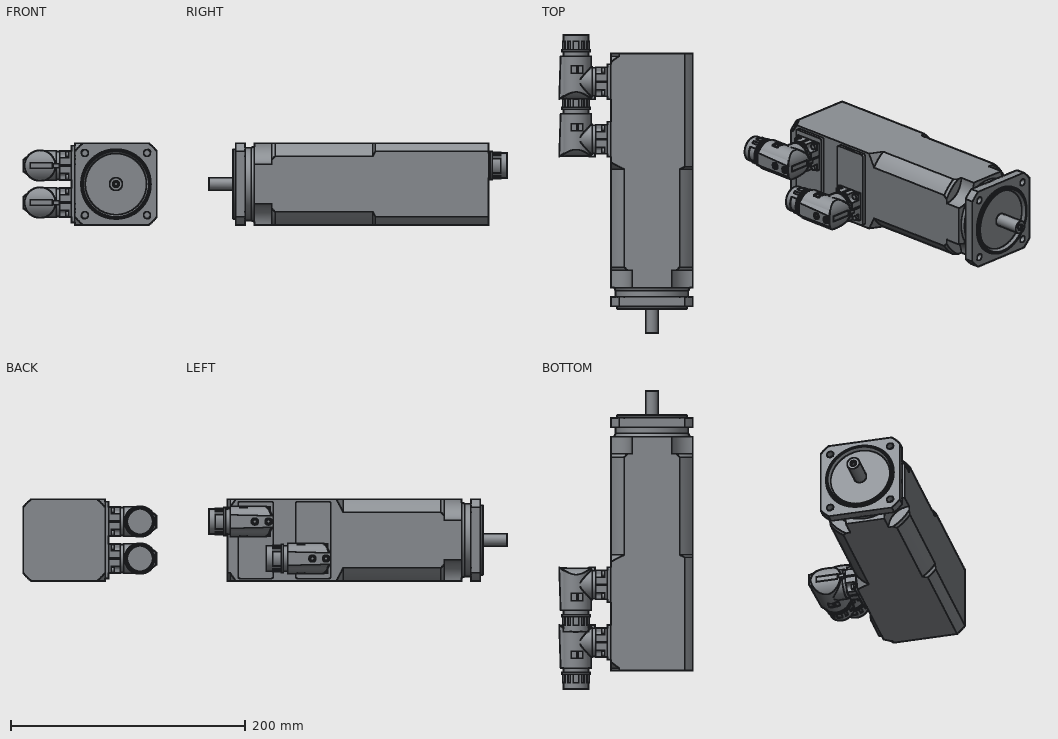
import cadquery as cq
import math

LENGTH = 254.9
SIDE = 70.0
HALF_SIDE = SIDE / 2
SHAFT_DIA = 11.0
SHAFT_LENGTH = 23.0
CENTER_HOLE_DIA = 3.3
CENTER_SINK_DIA = 5.5
CENTER_HOLE_DEPTH = 7.6

FLANGE_THICKNESS = 8.2
FLANGE_CORNER_DIA = 89.7
SPIGOT_DIA = 60.0
SPIGOT_HEIGHT = 2.5
SPIGOT_CHAMFER = 0.8
RECESS_DIA = 56.0
RECESS_FLOOR_DIA = 52.2
RECESS_DEPTH = 3.0
BOLT_SPACING = 53.0
BOLT_DIA = 5.9

NECK_DIA = 62.5
NECK_RIM_DIA = 64.7
NECK_RIM_LENGTH = 2.8

HOUSING_FRONT = 16.0
HOUSING_REAR = 216.0
POCKET_LENGTH = 14.8
POCKET_RADIUS = 18.0
FRONT_RAMP_LENGTH = 2.8
FRONT_CORNER_DIA = 81.5
STATOR_CORNER_DIA = 84.5
STATOR_END = 117.2
STATOR_RAMP_LENGTH = 5.9
REAR_BAND = 2.3
REAR_RAMP_LENGTH = 5.0
SHARP_CORNER_RADIUS = HALF_SIDE * math.sqrt(2)

PLATE_THICKNESS = 3.0
PLATE_WIDTH = 30.0
PLATE_HEIGHT = 65.8
PLATE_CORNER_RADIUS = 1.8
PLATE_FACE_X = -HALF_SIDE - PLATE_THICKNESS

CONNECTOR_Z = 15.8
CONNECTOR_PITCH = 49.2
CONNECTOR_REACH = 114.5 - SIDE - PLATE_THICKNESS
BASE_SIDE = 25.0
BASE_LENGTH = 10.0
FOOT_THICKNESS = 2.3
SCREW_OFFSET = 9.7
SCREW_NOTCH_DIA = 6.0
SCREW_HEAD_DIA = 4.5
SCREW_HEAD_HEIGHT = 2.5
BASE_GROOVE_WIDTH = 1.0
BASE_GROOVE_DEPTH = 0.5
COLLAR_DIA = 24.2
ARM_DIA = 25.5
ARM_START = 12.7

TUBE_DIA = 26.3
TUBE_X = -26.8
TUBE_TOP = 22.0
TUBE_BOTTOM = 14.5
DOME_WIDTH = 28.0
DOME_EDGE_BOTTOM = 7.6
COVER_TIP_WIDTH = 9.7
COVER_BOTTOM = 15.0
COVER_TAPER = 1.3
COVER_SHOULDER = 4.5
COVER_SHOULDER_WIDTH = 24.5
BUTTON_DIA = 5.9
BUTTON_Y = 0.8
SCREW_Y = -11.0
BUTTON_CORE_DIA = 3.3
BUTTON_RING_DEPTH = 0.5

WINDOW_LENGTH = 18.5
WINDOW_WIDTH = 4.8
WINDOW_X = -25.7
WINDOW_DEPTH = 0.8
LUG_WIDTH = 3.3
LUG_END = 10.5
LUG_LENGTH = 4.8
LUG_HEIGHT = 4.3

LATCH_POCKET_WIDTH = 4.5
LATCH_POCKET_HEIGHT = 6.0
LATCH_BAR = 1.5
LATCH_X = TUBE_X + 1.3
LATCH_Y = 10.5
LATCH_DEPTH = 1.3

COUPLING_DIA = 21.7
RING_DIA = 24.2
RING_START = 25.5
RING_END = 27.3
SLEEVE_DIA = 23.0
SLEEVE_END = 34.5
NARROW_GROOVE = 2.8
NARROW_GROOVE_ANGLE = 19
WIDE_GROOVE = 3.5
WIDE_GROOVE_ANGLE = 47

REAR_CONNECTOR_Y = 192.0
COUPLING_END = LENGTH - SHAFT_LENGTH - REAR_CONNECTOR_Y


def cylinder_y(diameter, start, end, x=0.0, z=0.0):
    """Cylinder along Y from start to end."""
    solid = cq.Solid.makeCylinder(diameter / 2, end - start, cq.Vector(x, start, z), cq.Vector(0, 1, 0))
    return cq.Workplane(solid)


def cylinder_x(diameter, start, end, y=0.0, z=0.0):
    """Cylinder along X from start to end."""
    solid = cq.Solid.makeCylinder(diameter / 2, end - start, cq.Vector(start, y, z), cq.Vector(1, 0, 0))
    return cq.Workplane(solid)


def block(x_range, y_range, z_range):
    """Box between the given limits on each axis."""
    lows, highs = zip(x_range, y_range, z_range)
    sizes = [high - low for low, high in zip(lows, highs)]
    return cq.Workplane(cq.Solid.makeBox(*sizes, cq.Vector(*lows)))


def square_bar(start, end):
    """Bar of the full motor section from start to end."""
    limits = (-HALF_SIDE, HALF_SIDE)
    return block(limits, (start, end), limits)


def revolved(points):
    """Solid turned about the Y axis from (radius, y) points."""
    return cq.Workplane("XY").polyline(points).close().revolve(360, (0, 0, 0), (0, 1, 0))


def four_corners(offset):
    """The four (+-offset, +-offset) positions."""
    return [(a, b) for a in (-offset, offset) for b in (-offset, offset)]


def make_housing_block():
    """Square housing whose corners are turned down to a stepped round profile."""
    pocket_end = HOUSING_FRONT + POCKET_LENGTH
    front_radius = FRONT_CORNER_DIA / 2
    stator_radius = STATOR_CORNER_DIA / 2
    rear_radius = FLANGE_CORNER_DIA / 2
    rear_band_start = HOUSING_REAR - REAR_BAND
    envelope = revolved([
        (0, HOUSING_FRONT),
        (front_radius, HOUSING_FRONT),
        (front_radius, pocket_end),
        (stator_radius, pocket_end + FRONT_RAMP_LENGTH),
        (stator_radius, STATOR_END),
        (SHARP_CORNER_RADIUS, STATOR_END + STATOR_RAMP_LENGTH),
        (SHARP_CORNER_RADIUS, rear_band_start - REAR_RAMP_LENGTH),
        (rear_radius, rear_band_start),
        (rear_radius, HOUSING_REAR),
        (0, HOUSING_REAR),
    ])
    housing = square_bar(HOUSING_FRONT, HOUSING_REAR).intersect(envelope)

    limits = (-SIDE, SIDE)
    left_half = block((-SIDE, 0), (HOUSING_FRONT, HOUSING_REAR), limits)
    round_bar = cylinder_y(FLANGE_CORNER_DIA, HOUSING_FRONT, HOUSING_REAR)
    housing = housing.intersect(left_half.union(round_bar))

    for x, z in four_corners(HALF_SIDE):
        housing = housing.cut(cylinder_y(2 * POCKET_RADIUS, HOUSING_FRONT, pocket_end, x, z))
    return housing


def make_flange():
    """Rounded square flange with spigot, recess and bolt holes."""
    flange = square_bar(0, FLANGE_THICKNESS).intersect(
        cylinder_y(FLANGE_CORNER_DIA, 0, FLANGE_THICKNESS))
    spigot_radius = SPIGOT_DIA / 2
    spigot = revolved([
        (0, 0),
        (spigot_radius, 0),
        (spigot_radius, SPIGOT_CHAMFER - SPIGOT_HEIGHT),
        (spigot_radius - SPIGOT_CHAMFER, -SPIGOT_HEIGHT),
        (0, -SPIGOT_HEIGHT),
    ])
    recess = revolved([
        (0, -SPIGOT_HEIGHT),
        (RECESS_DIA / 2, -SPIGOT_HEIGHT),
        (RECESS_FLOOR_DIA / 2, RECESS_DEPTH - SPIGOT_HEIGHT),
        (0, RECESS_DEPTH - SPIGOT_HEIGHT),
    ])
    flange = flange.union(spigot).cut(recess)
    for x, z in four_corners(BOLT_SPACING / 2):
        flange = flange.cut(cylinder_y(BOLT_DIA, 0, FLANGE_THICKNESS, x, z))
    return flange


def make_neck():
    """Round neck between flange and housing, flaring towards the housing."""
    return revolved([
        (0, FLANGE_THICKNESS),
        (NECK_DIA / 2, FLANGE_THICKNESS),
        (NECK_DIA / 2, HOUSING_FRONT - NECK_RIM_LENGTH),
        (NECK_RIM_DIA / 2, HOUSING_FRONT),
        (0, HOUSING_FRONT),
    ])


def make_shaft():
    """Shaft with a countersunk centre hole, rooted inside the flange."""
    sink_depth = (CENTER_SINK_DIA - CENTER_HOLE_DIA) / 2
    shaft = cylinder_y(SHAFT_DIA, -SHAFT_LENGTH, FLANGE_THICKNESS)
    hole = cylinder_y(CENTER_HOLE_DIA, -SHAFT_LENGTH, CENTER_HOLE_DEPTH - SHAFT_LENGTH)
    sink = revolved([
        (0, -SHAFT_LENGTH),
        (CENTER_SINK_DIA / 2, -SHAFT_LENGTH),
        (CENTER_HOLE_DIA / 2, sink_depth - SHAFT_LENGTH),
        (0, sink_depth - SHAFT_LENGTH),
    ])
    return shaft.cut(hole).cut(sink)


def make_motor():
    """Housing, neck, flange and shaft in one body."""
    return make_housing_block().union(make_neck()).union(make_flange()).union(make_shaft())


def make_plate(y):
    """Flat connector plate on the -X face of the housing."""
    plate = block(
        (PLATE_FACE_X, -HALF_SIDE),
        (y - PLATE_WIDTH / 2, y + PLATE_WIDTH / 2),
        (-PLATE_HEIGHT / 2, PLATE_HEIGHT / 2),
    )
    return plate.edges("|X").fillet(PLATE_CORNER_RADIUS)


def make_base():
    """Square connector base with corner notches for its screws, and a round collar."""
    half = BASE_SIDE / 2
    base = block((-BASE_LENGTH, 0), (-half, half), (-half, half))
    for y, z in four_corners(SCREW_OFFSET):
        notch = cylinder_x(SCREW_NOTCH_DIA, -BASE_LENGTH, -FOOT_THICKNESS, y, z)
        reach = SCREW_NOTCH_DIA / 2
        y_out = math.copysign(BASE_SIDE, y)
        z_out = math.copysign(BASE_SIDE, z)
        x_range = (-BASE_LENGTH, -FOOT_THICKNESS)
        y_open = block(x_range, sorted((y, y_out)), (z - reach, z + reach))
        z_open = block(x_range, (y - reach, y + reach), sorted((z, z_out)))
        base = base.cut(notch).cut(y_open).cut(z_open)
        head_end = -FOOT_THICKNESS - SCREW_HEAD_HEIGHT
        base = base.union(cylinder_x(SCREW_HEAD_DIA, head_end, -FOOT_THICKNESS, y, z))

    groove_floor = half - BASE_GROOVE_DEPTH
    groove = block(
        (-BASE_LENGTH, 0), (groove_floor, half), (-BASE_GROOVE_WIDTH / 2, BASE_GROOVE_WIDTH / 2))
    for quarter in range(4):
        base = base.cut(groove.rotate((0, 0, 0), (1, 0, 0), 90 * quarter))
    return base.union(cylinder_x(COLLAR_DIA, -ARM_START, -BASE_LENGTH))


def make_cover():
    """Wedge-shaped cover on the outer side of the elbow, leaning out towards -Y."""
    shoulder_x = TUBE_X - COVER_SHOULDER
    wedge = (
        cq.Workplane("XZ", origin=(0, TUBE_TOP, 0))
        .moveTo(-CONNECTOR_REACH, COVER_TIP_WIDTH / 2)
        .lineTo(shoulder_x, COVER_SHOULDER_WIDTH / 2)
        .lineTo(TUBE_X, COVER_SHOULDER_WIDTH / 2)
        .lineTo(TUBE_X, -COVER_SHOULDER_WIDTH / 2)
        .lineTo(shoulder_x, -COVER_SHOULDER_WIDTH / 2)
        .lineTo(-CONNECTOR_REACH, -COVER_TIP_WIDTH / 2)
        .close()
        .extrude(TUBE_TOP + COVER_BOTTOM)
    )
    side_profile = (
        cq.Workplane("XY", origin=(0, 0, -TUBE_DIA))
        .moveTo(-CONNECTOR_REACH, -COVER_BOTTOM)
        .lineTo(-CONNECTOR_REACH + COVER_TAPER, TUBE_TOP)
        .lineTo(TUBE_X, TUBE_TOP)
        .lineTo(TUBE_X, -DOME_EDGE_BOTTOM)
        .lineTo(TUBE_X - COVER_SHOULDER, -DOME_EDGE_BOTTOM)
        .close()
        .extrude(2 * TUBE_DIA)
    )
    return wedge.intersect(side_profile)


def make_tube():
    """Outlet tube along Y, closed by a domed end."""
    half = DOME_WIDTH / 2
    tube = cylinder_y(TUBE_DIA, -TUBE_BOTTOM, TUBE_TOP, x=TUBE_X)
    side_profile = (
        cq.Workplane("YZ", origin=(-CONNECTOR_REACH, 0, 0))
        .moveTo(TUBE_TOP, -half)
        .lineTo(TUBE_TOP, half)
        .lineTo(-DOME_EDGE_BOTTOM, half)
        .threePointArc((-TUBE_BOTTOM, 0), (-DOME_EDGE_BOTTOM, -half))
        .close()
        .extrude(CONNECTOR_REACH)
    )
    return tube.intersect(side_profile)


def cut_elbow_details(elbow):
    """End window, latch pockets in the tube and ring-shaped recesses in the cover."""
    window = block(
        (WINDOW_X - WINDOW_LENGTH / 2, WINDOW_X + WINDOW_LENGTH / 2),
        (-COVER_BOTTOM, WINDOW_DEPTH - TUBE_BOTTOM),
        (-WINDOW_WIDTH / 2, WINDOW_WIDTH / 2),
    )
    elbow = elbow.cut(window)

    latch_floor = TUBE_DIA / 2 - LATCH_DEPTH
    for side in (-1, 1):
        near = LATCH_X + side * LATCH_BAR / 2
        far = near + side * LATCH_POCKET_WIDTH
        y_range = (LATCH_Y - LATCH_POCKET_HEIGHT / 2, LATCH_Y + LATCH_POCKET_HEIGHT / 2)
        for z_range in ((latch_floor, TUBE_DIA), (-TUBE_DIA, -latch_floor)):
            elbow = elbow.cut(block(sorted((near, far)), y_range, z_range))

    slope = COVER_TAPER / (TUBE_TOP + COVER_BOTTOM)
    for y in (BUTTON_Y, SCREW_Y):
        floor_x = -CONNECTOR_REACH + slope * (y + COVER_BOTTOM) + BUTTON_RING_DEPTH
        ring = cylinder_x(BUTTON_DIA, -CONNECTOR_REACH, floor_x, y)
        core = cylinder_x(BUTTON_CORE_DIA, -CONNECTOR_REACH, floor_x, y)
        elbow = elbow.cut(ring.cut(core))
    return elbow


def make_coupling():
    """Round outlet end with a ring and a grooved grip sleeve."""
    coupling = cylinder_y(COUPLING_DIA, TUBE_TOP, COUPLING_END)
    ring = cylinder_y(RING_DIA, RING_START, RING_END)
    sleeve = cylinder_y(SLEEVE_DIA, RING_END, SLEEVE_END)
    grooves = [(NARROW_GROOVE_ANGLE, NARROW_GROOVE), (WIDE_GROOVE_ANGLE, WIDE_GROOVE)]
    for angle, width in grooves:
        slot = block((-width / 2, width / 2), (RING_END, SLEEVE_END), (-SLEEVE_DIA, SLEEVE_DIA))
        for turn in (-angle, angle):
            sleeve = sleeve.cut(slot.rotate((0, 0, 0), (0, 1, 0), turn))
    return coupling.union(sleeve).union(ring).translate((TUBE_X, 0, 0))


def make_connector():
    """Angled connector: base, arm along X, outlet tube along Y, cover and coupling."""
    arm = cylinder_x(ARM_DIA, TUBE_X, -ARM_START)
    lug = block(
        (-LUG_END - LUG_LENGTH, -LUG_END),
        (-COVER_BOTTOM, LUG_HEIGHT - COVER_BOTTOM),
        (-LUG_WIDTH / 2, LUG_WIDTH / 2),
    )
    elbow = make_tube().union(arm).union(make_cover())
    elbow = cut_elbow_details(elbow)
    return elbow.union(make_base()).union(lug).union(make_coupling())


motor = make_motor()

plates = []
connectors = []
for index, z in enumerate((CONNECTOR_Z, -CONNECTOR_Z)):
    y = REAR_CONNECTOR_Y - index * CONNECTOR_PITCH
    plates.append(make_plate(y).val())
    connectors.append(make_connector().translate((PLATE_FACE_X, y, z)).val())

result = cq.Compound.makeCompound([motor.val(), *plates, *connectors])